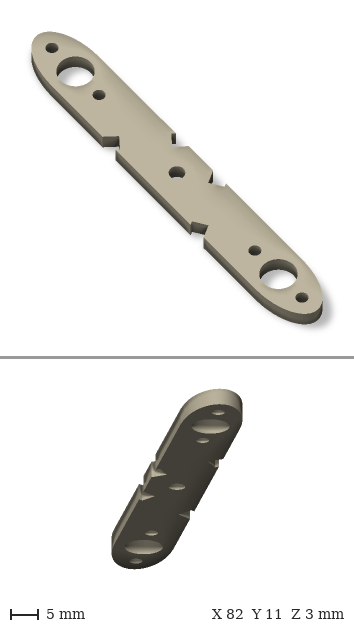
import cadquery as cq
import math

length = 82.0
width = 11.0
thickness = 3.0
end_length = 11.0
end_center_x = length / 2 - end_length

center_hole_diameter = 3.0
large_hole_diameter = 7.0
small_hole_diameter = 2.4
small_hole_offset = 7.0

notch_pair_x = 9.3
notch_apex_offset_x = 3.9
notch_apex_y = 3.0
notch_width = 3.1
notch_angle = 35.0
notch_reach = 2 * notch_width


def make_plate():
    straight = cq.Workplane("XY").box(2 * end_center_x, width, thickness)
    ends = (
        cq.Workplane("XY", origin=(0, 0, -thickness / 2))
        .pushPoints([(-end_center_x, 0), (end_center_x, 0)])
        .ellipse(end_length, width / 2)
        .extrude(thickness)
    )
    return straight.union(ends)


def drill(plate, points, diameter):
    return plate.faces(">Z").workplane(origin=(0, 0, 0)).pushPoints(points).hole(diameter)


def make_notch_cutters():
    """Return the top and bottom notch cutters on the +X half."""
    angle = math.radians(notch_angle)
    floor_x = notch_width * math.cos(angle)
    floor_y = notch_width * math.sin(angle)
    side_x = -notch_reach * math.sin(angle)
    side_y = notch_reach * math.cos(angle)
    top_notch = (
        cq.Workplane("XY", origin=(0, 0, -thickness / 2))
        .moveTo(notch_pair_x - notch_apex_offset_x, notch_apex_y)
        .line(floor_x, floor_y)
        .line(side_x, side_y)
        .line(-floor_x, -floor_y)
        .close()
        .extrude(thickness)
    )
    bottom_notch = top_notch.rotate((notch_pair_x, 0, 0), (notch_pair_x, 0, 1), 180)
    return [top_notch, bottom_notch]


large_hole_points = [(side * end_center_x, 0) for side in (-1, 1)]
small_hole_points = [
    (x + offset, y)
    for x, y in large_hole_points
    for offset in (-small_hole_offset, small_hole_offset)
]

result = make_plate()
result = drill(result, [(0, 0)], center_hole_diameter)
result = drill(result, large_hole_points, large_hole_diameter)
result = drill(result, small_hole_points, small_hole_diameter)

for cutter in make_notch_cutters():
    result = result.cut(cutter).cut(cutter.mirror("YZ"))